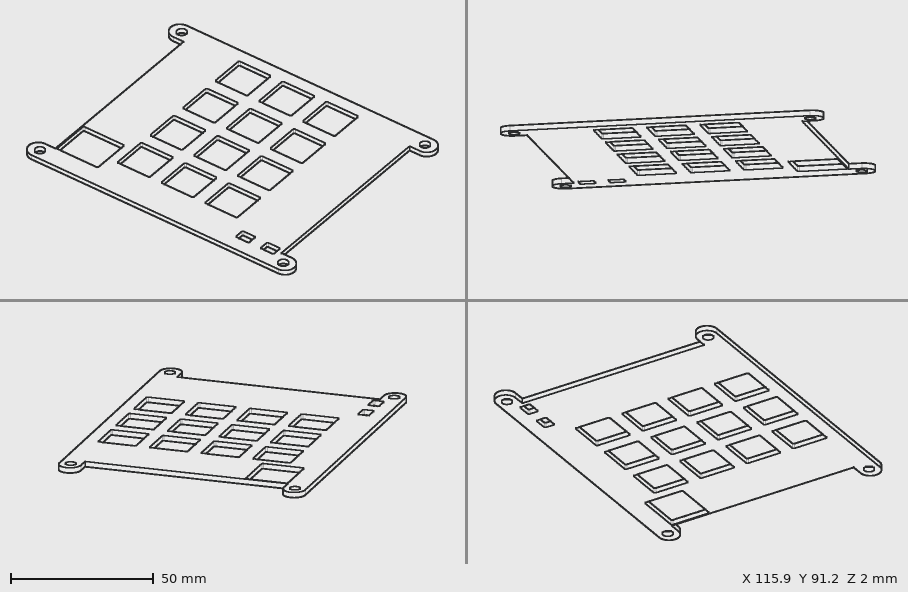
import cadquery as cq

overall_length = 115.9
overall_width = 91.2
thickness = 2.0
body_length = 98.8

ear_width = 8.0
screw_hole_diameter = 3.8
screw_spacing_x = 106.4
screw_spacing_y = overall_width - ear_width

key_columns = 3
key_rows = 4
key_size = 14.0
key_pitch = 19.1
key_grid_center = (-1.2, 4.8)

edge_wall = 0.5
display_length = 17.8
display_width = 15.6
display_center = (-body_length / 2 + edge_wall + display_length / 2, -29.5)

slot_length = 5.7
slot_width = 4.0
slot_pitch = 10.8
slot_pair_center = (39.3, -37.8)

window_corner_radius = 0.5


def plate_body():
    """Rectangular plate with a round-ended bar along each long edge."""
    body = cq.Workplane("XY").rect(body_length, overall_width).extrude(thickness)
    bars = (
        cq.Workplane("XY")
        .rarray(1.2, screw_spacing_y, 1, 2)
        .slot2D(overall_length, ear_width)
        .extrude(thickness)
    )
    return body.union(bars)


def windows(length, width, center, pitch=1.2, columns=1, rows=1):
    """Cutter for a grid of rectangular openings with rounded corners."""
    return (
        cq.Workplane("XY")
        .center(*center)
        .rarray(pitch, pitch, columns, rows)
        .rect(length, width)
        .extrude(thickness)
        .edges("|Z")
        .fillet(window_corner_radius)
    )


def screw_holes():
    """Cutter for the four through holes in the ears."""
    return (
        cq.Workplane("XY")
        .rarray(screw_spacing_x, screw_spacing_y, 2, 2)
        .circle(screw_hole_diameter / 2)
        .extrude(thickness)
    )


key_windows = windows(key_size, key_size, key_grid_center, key_pitch, key_columns, key_rows)
display_window = windows(display_length, display_width, display_center)
slot_windows = windows(slot_length, slot_width, slot_pair_center, slot_pitch, columns=2)

result = (
    plate_body()
    .cut(key_windows)
    .cut(display_window)
    .cut(slot_windows)
    .cut(screw_holes())
)